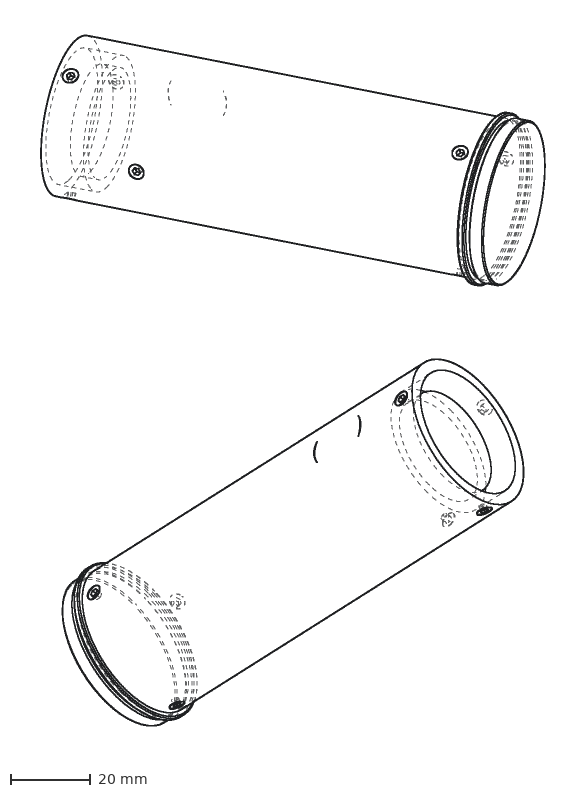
import cadquery as cq
import math

length = 120.0
body_radius = 20.6
land_radius = 20.4
head_radius = 21.1
head_start = 116.4
head_chamfer = 0.4

collar_radius = 22.1
collar_start = 113.3
collar_end = 115.1
collar_chamfer = 0.4

bore_radius = 17.5
bore_depth = 10.2
plug_radius = 14.4
plug_face_x = 5.4

seat_diameter = 4.1
seat_depth = 0.2
socket_across_corners = 2.2
socket_depth = 1.8
hole_row_positions = (3.8, 109.5)
hole_row_angles = (60.0, 180.0, 300.0)

side_x = 25.8
side_hole_angle = 0.0
flat_angle = side_hole_angle + 180.0
flat_diameter = 15.8
flat_depth = 0.3


def turned_body():
    """Revolve the body, the collar, the narrower land and the chamfered head about X."""
    profile = (
        cq.Workplane("XY")
        .polyline([
            (0, 0),
            (0, body_radius),
            (collar_start, body_radius),
            (collar_start, collar_radius - collar_chamfer),
            (collar_start + collar_chamfer, collar_radius),
            (collar_end - collar_chamfer, collar_radius),
            (collar_end, collar_radius - collar_chamfer),
            (collar_end, land_radius),
            (head_start - head_chamfer, land_radius),
            (head_start, head_radius),
            (length - head_chamfer, head_radius),
            (length, head_radius - head_chamfer),
            (length, 0),
        ])
        .close()
    )
    return profile.revolve(360, (0, 0, 0), (1, 0, 0))


def end_bore():
    """Flat-floored bore that leaves the central plug standing."""
    bore = cq.Workplane("YZ").circle(bore_radius).extrude(bore_depth)
    plug = cq.Workplane("YZ", origin=(plug_face_x, 0, 0)).circle(plug_radius).extrude(bore_depth - plug_face_x)
    return bore.cut(plug)


def sunk_plane(x, angle, depth):
    """Workplane below the body surface, facing outward; angle 0 is -Y, 90 is +Z."""
    turn = math.radians(angle)
    outward = cq.Vector(0, -math.cos(turn), math.sin(turn))
    origin = outward * (body_radius - depth) + cq.Vector(x, 0, 0)
    return cq.Workplane(cq.Plane(origin=origin, xDir=(1, 0, 0), normal=outward))


def round_sink(x, angle, diameter, depth):
    """Round cutter with a flat floor at the given depth."""
    return sunk_plane(x, angle, depth).circle(diameter / 2).extrude(2 * depth)


def hex_sink(x, angle, across_corners, depth):
    """Hexagonal cutter with two corners along X."""
    return sunk_plane(x, angle, depth).polygon(6, across_corners).extrude(2 * depth)


def cut_screw_hole(part, x, angle):
    """Cut the round seat and the hexagonal socket below it."""
    part = part.cut(round_sink(x, angle, seat_diameter, seat_depth))
    return part.cut(hex_sink(x, angle, socket_across_corners, socket_depth))


result = turned_body().cut(end_bore())
for row_x in hole_row_positions:
    for row_angle in hole_row_angles:
        result = cut_screw_hole(result, row_x, row_angle)
result = cut_screw_hole(result, side_x, side_hole_angle)
result = result.cut(round_sink(side_x, flat_angle, flat_diameter, flat_depth))